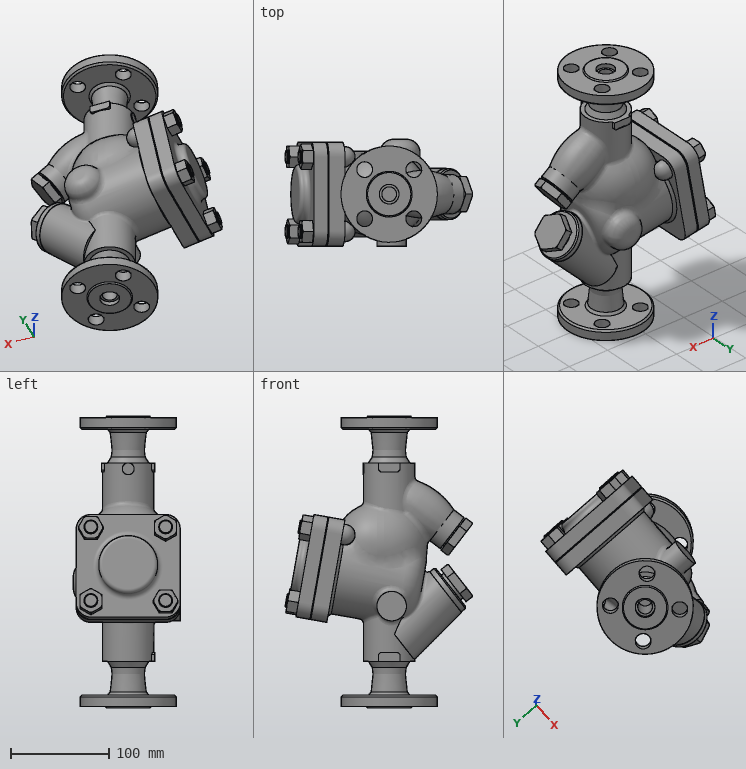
import cadquery as cq
import math

HALF_HEIGHT = 148.5
BARREL_RADIUS = 26.2
BARREL_HALF_HEIGHT = 100.8
FLANGE_RADIUS = 98 / 2
FLANGE_THICKNESS = 12
FLANGE_CHAMFER = 2
RAISED_FACE_RADIUS = 44 / 2
RAISED_FACE_BASE_RADIUS = 46.5 / 2
RAISED_FACE_HEIGHT = 1.5
FLANGE_HOLE_DIAMETER = 16
FLANGE_HOLE_SPACING = 50
FLANGE_HOLES_PER_SIDE = 2
BORE_DIAMETER = 15
BORE_DEPTH = 40
SOCKET_DIAMETER = 20
SOCKET_DEPTH = 5
NECK_TOP_Z = 132
NECK_TOP_RADIUS = 18.5
NECK_ROOT_RADIUS = 21
NECK_WAIST_Z = 114
NECK_WAIST_RADIUS = 16.6
NECK_COLLAR_Z = 107
NECK_COLLAR_RADIUS = 17.4
NECK_FOOT_RADIUS = 21.3

PAD_WIDTH = 21.5
PAD_HEIGHT = 9
PAD_REACH = 27.2
PAD_CHAMFER = 2
DISC_DIAMETER = 12
DISC_Z = 95
DISC_REACH = 26.8

CHAMBER_RADIUS = 87.5 / 2
DOME_Z = 17
DOME_LEFT_X = -12
DOME_RIGHT_X = -4.8
CHAMBER_END = -34
CHAMBER_END_FILLET = 19

COVER_TILT = 10
COVER_AXIS_Z = -18.7
JOINT = 72.1
JOINT_GAP = 1
JOINT_INSET = 1
COVER_SIDE = 106
COVER_CORNER_RADIUS = 15
COVER_THICKNESS = 15
BODY_FLANGE_THICKNESS = 17
BODY_FLANGE_BLEND = 3
CAP_RADIUS = 60 / 2
CAP_HEIGHT = 10
CAP_FACE_FILLET = 4
CAP_ROOT_FILLET = 5.5

BOLT_OFFSET = 38
NUT_ACROSS_FLATS = 22.2
NUT_HEIGHT = 11
NUT_CHAMFER = 0.8
STUD_DIAMETER = 14
STUD_REACH = 1.8
STUD_CHAMFER = 0.8
BOLT_BOSS_RADIUS = 10.5
BOLT_BOSS_LENGTH = 13

FRONT_BOSS_X = 2.5
FRONT_BOSS_Z = -44.7
FRONT_BOSS_DIAMETER = 30
FRONT_BOSS_REACH = COVER_SIDE / 2
BACK_BOSS_X = 11
BACK_BOSS_DIAMETER = 41
BACK_BOSS_REACH = 56
BACK_BOSS_FILLET = 14

PLUG_ACROSS_FLATS = 36
PLUG_HEIGHT = 9.2
PLUG_CHAMFER = 1
PLUG_NECK_RADIUS = 32 / 2
PLUG_X = 72.6

UPPER_PORT_TILT = -37.5
UPPER_PLUG_Z = 23
UPPER_NECK_LENGTH = 1.5
UPPER_COLLAR_RADIUS = 20
UPPER_COLLAR_END = 24
UPPER_BULGE_RADIUS = 24.2
UPPER_BULGE_AT = 49
UPPER_TAIL_RADIUS = 15
UPPER_TAIL_AT = 85

LOWER_PORT_TILT = 38
LOWER_BODY_TILT = 45
LOWER_PLUG_Z = -18.2
LOWER_NECK_LENGTH = 3.3
LOWER_PORT_RADIUS = 26.4
LOWER_COLLAR_RADIUS = 52 / 2
LOWER_COLLAR_LENGTH = 7
LOWER_COLLAR_CHAMFER = 1.5
LOWER_BODY_LENGTH = 67.5

CHAMBER_BLEND = 24
BARREL_BLEND = 5
FRONT_BOSS_BLEND = 5
UPPER_PORT_BLEND = 5
BACK_BOSS_BLEND = 6
LOWER_PORT_BLEND = 2.5
SEAM_TOLERANCE = 0.001


def tilted_plane(x, z, tilt):
    """Plane facing +X, then raised by tilt degrees; its local x runs along +Y."""
    angle = math.radians(tilt)
    normal = (math.cos(angle), 0, math.sin(angle))
    return cq.Plane(origin=(x, 0, z), xDir=(0, 1, 0), normal=normal)


def cover_plane(distance):
    """Plane square to the cover axis, facing outwards; its local y runs up the cover."""
    angle = math.radians(COVER_TILT)
    outward = (-math.cos(angle), 0, math.sin(angle))
    centre = (distance * outward[0], 0, COVER_AXIS_Z + distance * outward[2])
    return cq.Plane(origin=centre, xDir=(0, -1, 0), normal=outward)


def hexagon(plane, across_flats, height, chamfer, turn=0):
    """Hexagon prism whose outer corners are turned down by a cone."""
    across_corners = across_flats / math.cos(math.pi / 6)
    prism = cq.Workplane(plane).transformed(rotate=(0, 0, turn)).polygon(6, across_corners).extrude(height)
    turned = cq.Workplane(plane).circle(across_corners / 2).extrude(height).faces(
        cq.selectors.DirectionMinMaxSelector(plane.zDir)
    ).chamfer(chamfer)
    return prism.intersect(turned)


def join(base, addition, blend):
    """Union of two solids with a fillet of radius blend along the seam between them."""
    joined = base.union(addition)
    seam = []
    for edge in joined.edges().vals():
        middle = cq.Vertex.makeVertex(*edge.positionAt(0.5).toTuple())
        gap = max(middle.distance(base.val()), middle.distance(addition.val()))
        if gap < SEAM_TOLERANCE:
            seam.append(edge)
    return joined.newObject(seam).fillet(blend)


def pipe_end():
    """Upper flange, neck and barrel, turned about Z."""
    flange_top = HALF_HEIGHT - RAISED_FACE_HEIGHT
    flange_bottom = flange_top - FLANGE_THICKNESS
    end = (
        cq.Workplane("XZ")
        .moveTo(0, 0)
        .lineTo(BARREL_RADIUS, 0)
        .lineTo(BARREL_RADIUS, BARREL_HALF_HEIGHT)
        .lineTo(NECK_FOOT_RADIUS, BARREL_HALF_HEIGHT)
        .lineTo(NECK_COLLAR_RADIUS, NECK_COLLAR_Z)
        .lineTo(NECK_WAIST_RADIUS, NECK_WAIST_Z)
        .lineTo(NECK_TOP_RADIUS, NECK_TOP_Z)
        .lineTo(NECK_ROOT_RADIUS, flange_bottom)
        .lineTo(FLANGE_RADIUS - FLANGE_CHAMFER, flange_bottom)
        .lineTo(FLANGE_RADIUS, flange_bottom + FLANGE_CHAMFER)
        .lineTo(FLANGE_RADIUS, flange_top)
        .lineTo(RAISED_FACE_BASE_RADIUS, flange_top)
        .lineTo(RAISED_FACE_RADIUS, HALF_HEIGHT)
        .lineTo(0, HALF_HEIGHT)
        .close()
        .revolve(360, (0, 0), (0, 1))
    )
    holes = (
        cq.Workplane("XY", origin=(0, 0, flange_bottom))
        .rarray(FLANGE_HOLE_SPACING, FLANGE_HOLE_SPACING, FLANGE_HOLES_PER_SIDE, FLANGE_HOLES_PER_SIDE)
        .circle(FLANGE_HOLE_DIAMETER / 2)
        .extrude(FLANGE_THICKNESS)
    )
    return end.cut(holes)


def bore():
    """Stepped blind bore entering the upper flange."""
    top = cq.Workplane("XY", origin=(0, 0, HALF_HEIGHT))
    passage = top.circle(BORE_DIAMETER / 2).extrude(-BORE_DEPTH)
    socket = top.circle(SOCKET_DIAMETER / 2).extrude(-SOCKET_DEPTH)
    return passage.union(socket)


def marking_pad(side):
    """Shallow pad at the top end of the barrel; side is -1 for -Y and 1 for +Y."""
    return (
        cq.Workplane("XY")
        .box(PAD_WIDTH, PAD_REACH, PAD_HEIGHT)
        .edges("|Y and <Z")
        .chamfer(PAD_CHAMFER)
        .translate((0, side * PAD_REACH / 2, BARREL_HALF_HEIGHT - PAD_HEIGHT / 2))
    )


def locating_disc():
    return cq.Workplane("YZ", origin=(0, 0, DISC_Z)).circle(DISC_DIAMETER / 2).extrude(-DISC_REACH)


def dome():
    """Two equal half spheres joined by a short cylinder along X, as one turned solid."""
    return (
        cq.Workplane("XY")
        .moveTo(DOME_LEFT_X - CHAMBER_RADIUS, 0)
        .radiusArc((DOME_LEFT_X, CHAMBER_RADIUS), CHAMBER_RADIUS)
        .lineTo(DOME_RIGHT_X, CHAMBER_RADIUS)
        .radiusArc((DOME_RIGHT_X + CHAMBER_RADIUS, 0), CHAMBER_RADIUS)
        .close()
        .revolve(360, (0, 0), (1, 0))
        .translate((0, 0, DOME_Z))
    )


def cover_chamber():
    """Tilted cylinder behind the cover, with a rounded far end."""
    return (
        cq.Workplane(cover_plane(CHAMBER_END))
        .circle(CHAMBER_RADIUS)
        .extrude(JOINT - BODY_FLANGE_THICKNESS - CHAMBER_END)
        .faces(">X")
        .edges()
        .fillet(CHAMBER_END_FILLET)
    )


def body_flange():
    """Square flange that carries the cover, with a conical root around the chamber."""
    start = JOINT - BODY_FLANGE_THICKNESS
    root = (
        cq.Workplane(cover_plane(start))
        .circle(CHAMBER_RADIUS + BODY_FLANGE_BLEND)
        .workplane(offset=-BODY_FLANGE_BLEND)
        .circle(CHAMBER_RADIUS)
        .loft()
    )
    return cover_plate(start, BODY_FLANGE_THICKNESS - JOINT_GAP / 2).union(root)


def cover_plate(start, thickness):
    plane = cover_plane(start)
    return (
        cq.Workplane(plane)
        .rect(COVER_SIDE, COVER_SIDE)
        .extrude(thickness)
        .edges(cq.selectors.ParallelDirSelector(plane.zDir))
        .fillet(COVER_CORNER_RADIUS)
    )


def cover():
    """Square cover with a round raised cap, set off from the body by a narrow joint."""
    outer = JOINT + COVER_THICKNESS
    joint_side = COVER_SIDE - 2 * JOINT_INSET
    joint = (
        cq.Workplane(cover_plane(JOINT - JOINT_GAP / 2))
        .rect(joint_side, joint_side)
        .extrude(JOINT_GAP)
        .edges(cq.selectors.ParallelDirSelector(cover_plane(JOINT).zDir))
        .fillet(COVER_CORNER_RADIUS - JOINT_INSET)
    )
    plate = cover_plate(JOINT + JOINT_GAP / 2, COVER_THICKNESS - JOINT_GAP / 2)
    cap_profile = (
        cq.Workplane("XY")
        .moveTo(0, 0)
        .lineTo(CAP_RADIUS + CAP_ROOT_FILLET, 0)
        .radiusArc((CAP_RADIUS, CAP_ROOT_FILLET), CAP_ROOT_FILLET)
        .radiusArc((CAP_RADIUS - CAP_FACE_FILLET, CAP_HEIGHT), -CAP_FACE_FILLET)
        .lineTo(0, CAP_HEIGHT)
        .close()
        .revolve(360, (0, 0), (0, 1))
        .rotate((0, 0, 0), (1, 0, 0), 90)
    )
    cap = cq.Workplane(obj=cap_profile.val().located(cover_plane(outer).location))
    return joint.union(plate).union(cap)


def cover_bolts():
    """Four studs with nuts; neighbouring nuts are turned by 30 degrees."""
    outer = JOINT + COVER_THICKNESS
    stud_length = NUT_HEIGHT + STUD_REACH
    bolts = cq.Workplane("XY")
    for across in (-1, 1):
        for up in (-1, 1):
            seat = cq.Workplane(cover_plane(outer)).center(across * BOLT_OFFSET, up * BOLT_OFFSET).plane
            turn = 30 if across == up else 0
            nut = hexagon(seat, NUT_ACROSS_FLATS, NUT_HEIGHT, NUT_CHAMFER, turn)
            stud = (
                cq.Workplane(seat)
                .circle(STUD_DIAMETER / 2)
                .extrude(stud_length)
                .faces(cq.selectors.DirectionMinMaxSelector(seat.zDir))
                .chamfer(STUD_CHAMFER)
            )
            bolts = bolts.union(nut).union(stud)
    return bolts


def bolt_boss(across):
    """Round-ended boss behind an upper bolt."""
    plane = cq.Workplane(cover_plane(JOINT - BODY_FLANGE_THICKNESS)).center(across * BOLT_OFFSET, BOLT_OFFSET).plane
    straight = BOLT_BOSS_LENGTH - BOLT_BOSS_RADIUS
    boss = cq.Workplane(plane).circle(BOLT_BOSS_RADIUS).extrude(-straight)
    end = plane.origin - plane.zDir * straight
    return boss.union(cq.Workplane("XY").sphere(BOLT_BOSS_RADIUS).translate(end))


def front_boss():
    return (
        cq.Workplane("XZ", origin=(FRONT_BOSS_X, 0, FRONT_BOSS_Z))
        .circle(FRONT_BOSS_DIAMETER / 2)
        .extrude(FRONT_BOSS_REACH)
    )


def back_boss():
    axis_z = COVER_AXIS_Z - BACK_BOSS_X * math.tan(math.radians(COVER_TILT))
    return (
        cq.Workplane("XZ", origin=(BACK_BOSS_X, 0, axis_z))
        .circle(BACK_BOSS_DIAMETER / 2)
        .extrude(-BACK_BOSS_REACH)
        .faces(">Y")
        .edges()
        .fillet(BACK_BOSS_FILLET)
    )


def plug(face_plane, neck_length):
    """Hexagon plug ending at face_plane, on a round neck that reaches into the port."""
    base = cq.Workplane(face_plane).workplane(offset=-PLUG_HEIGHT).plane
    neck = cq.Workplane(base).circle(PLUG_NECK_RADIUS).extrude(-neck_length)
    return hexagon(base, PLUG_ACROSS_FLATS, PLUG_HEIGHT, PLUG_CHAMFER, turn=30).union(neck)


def upper_port():
    """Bulging port, turned about its own axis, with its plug."""
    face = tilted_plane(PLUG_X, UPPER_PLUG_Z, UPPER_PORT_TILT)
    collar_start = PLUG_HEIGHT + UPPER_NECK_LENGTH
    body = (
        cq.Workplane("XY")
        .moveTo(0, -collar_start)
        .lineTo(UPPER_COLLAR_RADIUS, -collar_start)
        .lineTo(UPPER_COLLAR_RADIUS, -UPPER_COLLAR_END)
        .spline(
            [(UPPER_BULGE_RADIUS, -UPPER_BULGE_AT), (UPPER_TAIL_RADIUS, -UPPER_TAIL_AT)],
            includeCurrent=True,
        )
        .lineTo(0, -UPPER_TAIL_AT)
        .close()
        .revolve(360, (0, 0), (0, 1))
        .rotate((0, 0, 0), (1, 0, 0), 90)
    )
    placed = cq.Workplane(obj=body.val().located(face.location))
    return placed.union(plug(face, UPPER_NECK_LENGTH))


def lower_port():
    """Leaning cylinder trimmed square to the plug axis, with a straight collar and plug."""
    face = tilted_plane(PLUG_X, LOWER_PLUG_Z, LOWER_PORT_TILT)
    mouth = cq.Workplane(face).workplane(offset=-PLUG_HEIGHT - LOWER_NECK_LENGTH).plane
    collar = (
        cq.Workplane(mouth)
        .circle(LOWER_COLLAR_RADIUS)
        .extrude(-LOWER_COLLAR_LENGTH)
        .faces(cq.selectors.DirectionMinMaxSelector(mouth.zDir))
        .chamfer(LOWER_COLLAR_CHAMFER)
    )
    root = cq.Workplane(mouth).workplane(offset=-LOWER_COLLAR_LENGTH).plane
    lean = tilted_plane(root.origin.x, root.origin.z, LOWER_BODY_TILT)
    cylinder = cq.Workplane(lean).circle(LOWER_PORT_RADIUS).extrude(2 * LOWER_BODY_LENGTH, both=True)
    slab_side = 6 * LOWER_PORT_RADIUS
    slab = cq.Workplane(root).rect(slab_side, slab_side).extrude(-LOWER_BODY_LENGTH)
    return cylinder.intersect(slab).union(collar).union(plug(face, LOWER_NECK_LENGTH))


chambers = join(dome(), cover_chamber(), CHAMBER_BLEND)
upper_end = pipe_end()
casting = join(chambers, upper_end.union(upper_end.mirror("XY")), BARREL_BLEND)
casting = join(casting, front_boss(), FRONT_BOSS_BLEND)
casting = join(casting, upper_port(), UPPER_PORT_BLEND)
casting = join(casting, back_boss(), BACK_BOSS_BLEND)
casting = casting.union(join(chambers, lower_port(), LOWER_PORT_BLEND))

result = casting.union(body_flange()).union(cover()).union(cover_bolts())
for side in (-1, 1):
    result = result.union(bolt_boss(side)).union(marking_pad(side))
result = result.union(marking_pad(-1).mirror("XY")).union(locating_disc())
result = result.cut(bore()).cut(bore().mirror("XY"))